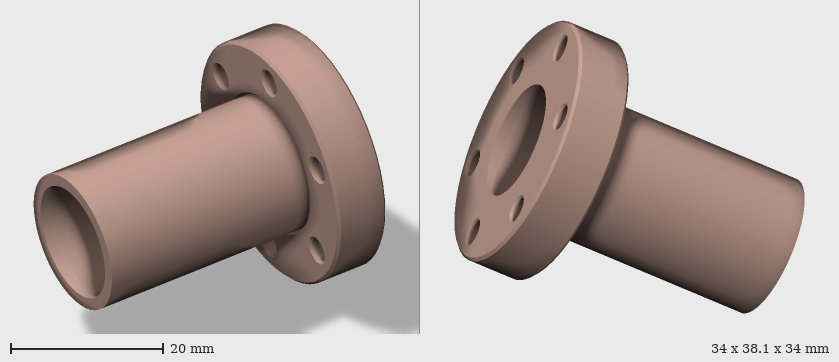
import cadquery as cq

total_length = 38.1
flange_diameter = 34.0
flange_thickness = 7.5
edge_chamfer = 0.4

tube_diameter = 19.05
tube_bore = 15.75
relief_gap = 0.1
relief_chamfer = 0.3

bolt_count = 6
bolt_diameter = 3.28
bolt_circle_radius = 13.5
bolt_chamfer = 0.3
first_bolt_angle = 90

relief_diameter = tube_diameter + 2 * relief_gap
relief_depth = flange_thickness / 2

rear_y = total_length / 2
flange_front_y = rear_y - flange_thickness


def cylinder(diameter, start_y, length):
    """Solid cylinder on the Y axis, growing toward +Y."""
    return (
        cq.Workplane("XZ", origin=(0, start_y, 0))
        .circle(diameter / 2)
        .extrude(-length)
    )


def make_tube():
    """Plain tube running the full length."""
    outside = cylinder(tube_diameter, -rear_y, total_length)
    return outside.cut(cylinder(tube_bore, -rear_y, total_length))


def make_flange():
    """Round flange with chamfered rims, a relieved tube bore and a ring of bolt holes."""
    flange = cylinder(flange_diameter, flange_front_y, flange_thickness)
    flange = flange.edges().chamfer(edge_chamfer)

    bore = cylinder(tube_diameter, flange_front_y, flange_thickness)
    relief = cylinder(relief_diameter, flange_front_y, relief_depth)
    flange = flange.cut(bore).cut(relief)
    flange = flange.cut(countersink(relief_diameter, relief_chamfer))

    for index in range(bolt_count):
        angle = first_bolt_angle + index * 360 / bolt_count
        flange = flange.cut(
            make_bolt_cutter()
            .translate((bolt_circle_radius, 0, 0))
            .rotate((0, 0, 0), (0, 1, 0), angle)
        )
    return flange


def countersink(diameter, depth):
    """45 degree cone that chamfers a hole at the flange's front face."""
    radius = diameter / 2
    return cq.Workplane(
        cq.Solid.makeCone(
            radius + depth, radius, depth,
            cq.Vector(0, flange_front_y, 0), cq.Vector(0, 1, 0),
        )
    )


def make_bolt_cutter():
    """Through hole with a chamfered mouth at both flange faces."""
    front_mouth = countersink(bolt_diameter, bolt_chamfer)
    rear_mouth = front_mouth.mirror("XZ", (0, rear_y - flange_thickness / 2, 0))
    shank = cylinder(bolt_diameter, flange_front_y, flange_thickness)
    return shank.union(front_mouth).union(rear_mouth)


tube = make_tube()
flange = make_flange()

result = cq.Compound.makeCompound([tube.val(), flange.val()])